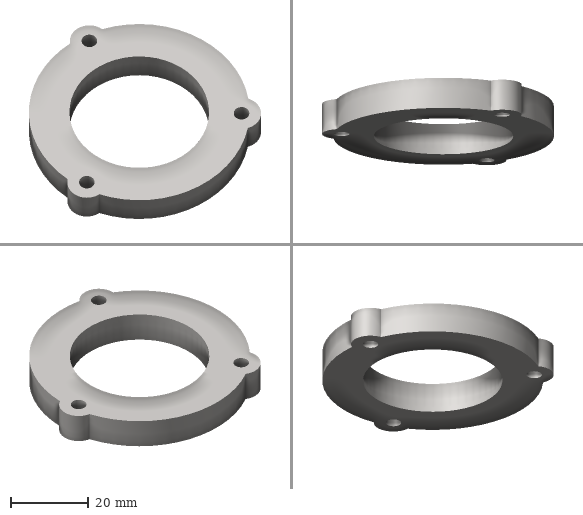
import cadquery as cq

overall_length = 59.9
thickness = 8.0
ring_diameter = 56.95
bore_diameter = 36.0
lug_radius = 5.05
lug_hole_diameter = 4.0
lug_count = 3
first_lug_angle = -90.0

ring_radius = ring_diameter / 2
lug_circle_radius = overall_length - ring_radius - lug_radius


def lug_cylinders(radius):
    """Full-thickness cylinders, one at each lug centre."""
    return (
        cq.Workplane("XY")
        .polarArray(lug_circle_radius, first_lug_angle, 360, lug_count)
        .circle(radius)
        .extrude(thickness)
    )


plate = cq.Workplane("XY").circle(ring_radius).extrude(thickness)
body = plate.union(lug_cylinders(lug_radius))

bore = cq.Workplane("XY").circle(bore_diameter / 2).extrude(thickness)
result = body.cut(bore).cut(lug_cylinders(lug_hole_diameter / 2))